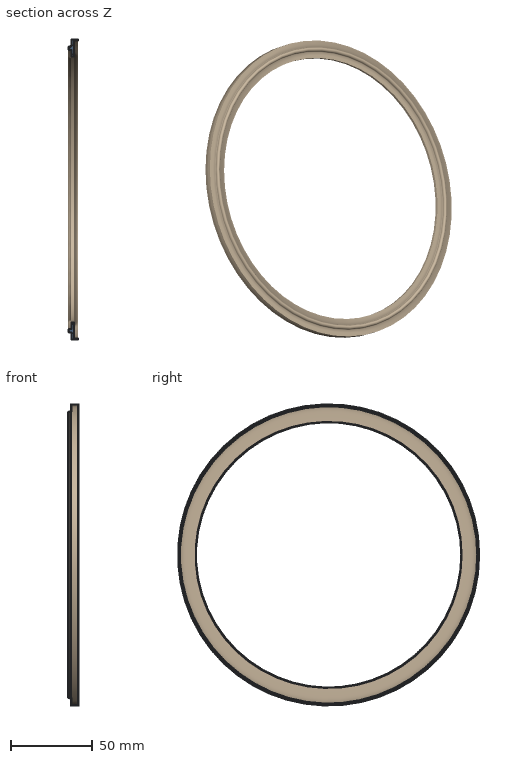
import cadquery as cq
import math

outer_diameter = 185.2
rim_inner_diameter = 183.0
bore_diameter = 163.3
overall_length = 6.4
rim_length = 4.5
web_thickness = 1.9

bead_inner_diameter = 171.6
bead_outer_diameter = 176.4
foot_fillet = 0.4

outer_radius = outer_diameter / 2
rim_inner_radius = rim_inner_diameter / 2
bore_radius = bore_diameter / 2
bead_inner_radius = bead_inner_diameter / 2
bead_outer_radius = bead_outer_diameter / 2
bead_middle_radius = (bead_inner_radius + bead_outer_radius) / 2
crown_radius = (bead_outer_radius - bead_inner_radius) / 2

rim_back_x = overall_length / 2
crown_x = -overall_length / 2
face_x = rim_back_x - rim_length
web_back_x = face_x + web_thickness
shoulder_x = crown_x + crown_radius
fillet_top_x = face_x - foot_fillet

fillet_mid_offset = foot_fillet * (1 - math.sqrt(0.5))
fillet_mid_x = face_x - fillet_mid_offset


def ring_section():
    """Closed half section, drawn as (x, radius): web, rim lip towards +X, bead towards -X."""
    return (
        cq.Workplane("XY")
        .moveTo(web_back_x, bore_radius)
        .lineTo(web_back_x, rim_inner_radius)
        .lineTo(rim_back_x, rim_inner_radius)
        .lineTo(rim_back_x, outer_radius)
        .lineTo(face_x, outer_radius)
        .lineTo(face_x, bead_outer_radius + foot_fillet)
        .threePointArc(
            (fillet_mid_x, bead_outer_radius + fillet_mid_offset),
            (fillet_top_x, bead_outer_radius),
        )
        .lineTo(shoulder_x, bead_outer_radius)
        .threePointArc((crown_x, bead_middle_radius), (shoulder_x, bead_inner_radius))
        .lineTo(fillet_top_x, bead_inner_radius)
        .threePointArc(
            (fillet_mid_x, bead_inner_radius - fillet_mid_offset),
            (face_x, bead_inner_radius - foot_fillet),
        )
        .lineTo(face_x, bore_radius)
        .close()
    )


def revolve_about_x(section):
    """Turn a section fully around the X axis."""
    return section.revolve(360, (0, 0, 0), (1, 0, 0))


result = revolve_about_x(ring_section())